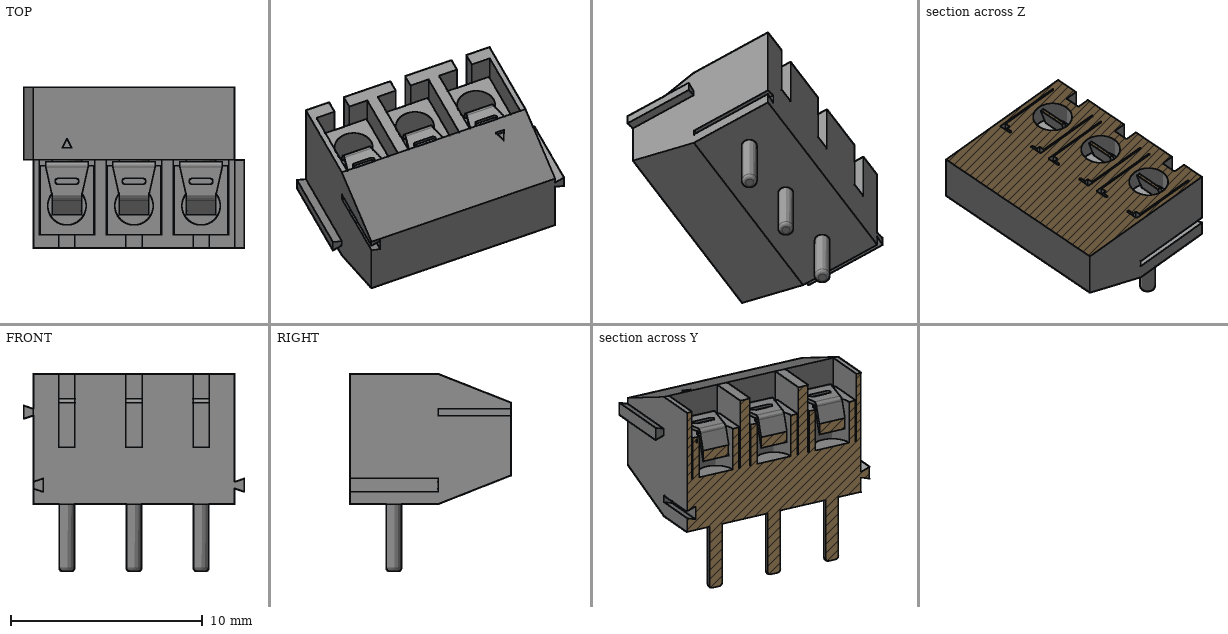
import cadquery as cq
import math

TOTAL_LENGTH = 11.5
RAIL_DEPTH = 0.51
BODY_LENGTH = TOTAL_LENGTH - 2 * RAIL_DEPTH
BODY_WIDTH = 8.4
BODY_HEIGHT = 6.8
BLOCK_WIDTH = 4.6
REAR_DROP = 1.5
FRONT = -BODY_WIDTH / 2
BACK = BODY_WIDTH / 2
RIDGE = FRONT + BLOCK_WIDTH
SIDE = BODY_LENGTH / 2

POLES = 3
PITCH = 3.5
POLE_X = [(i - (POLES - 1) / 2) * PITCH for i in range(POLES)]

FRONT_WALL = 0.7
POCKET_LENGTH = 2.9
POCKET_DEPTH = 3.82
POCKET_FLOOR = BODY_HEIGHT - POCKET_DEPTH
POCKET_FRONT = FRONT + FRONT_WALL
SLOT_LENGTH = 0.84

CAGE_LENGTH = 2.81
CAGE_TOP = BODY_HEIGHT - 1.5
CAGE_BACK = RIDGE - 0.3
WELL_DIAMETER = 2.0
WELL_Y = FRONT + 2.21
ROD_DIAMETER = 1.54
ROD_Z = (POCKET_FLOOR + CAGE_TOP) / 2

LEAF_THICKNESS = 0.2
LEAF_BEND_RADIUS = 0.25
LEAF_TONGUE_ANGLE = 72.0
LEAF_TONGUE_BEND = RIDGE - 1.86
LEAF_WIDE = 2.21
LEAF_NARROW = 1.54
LEAF_TOP = CAGE_TOP + LEAF_THICKNESS
LEAF_BACK = CAGE_BACK + LEAF_THICKNESS
LEAF_HOLE_LENGTH = 1.23
LEAF_HOLE_WIDTH = 0.3
LEAF_HOLE_Y = RIDGE - 1.12

PIN_Y = FRONT + 2.29
PIN_DIAMETER = 0.8
PIN_LENGTH = 3.51
PIN_TIP_RADIUS = 0.2

RAIL_WIDE = 0.7
RAIL_NECK = 0.36
UPPER_RAIL_Z = BODY_HEIGHT - 2.0
LOWER_RAIL_Z = 0.99

MARK_SIZE = 0.48
MARK_FRONT = RIDGE + 0.63
MARK_DEPTH = 0.2


def pole_box(x, length, y_range, z_range):
    """Box centred along X on one pole, between limits in Y and Z."""
    (y0, y1), (z0, z1) = y_range, z_range
    block = cq.Workplane("XY").box(length, y1 - y0, z1 - z0, centered=(True, False, False))
    return block.translate((x, y0, z0))


def side_profile(points, length):
    """Outline in Y and Z, extruded evenly to both sides of X = 0."""
    return cq.Workplane("YZ").polyline(points).close().extrude(length / 2, both=True)


def make_housing():
    outline = [
        (FRONT, 0),
        (RIDGE, 0),
        (BACK, REAR_DROP),
        (BACK, BODY_HEIGHT - REAR_DROP),
        (RIDGE, BODY_HEIGHT),
        (FRONT, BODY_HEIGHT),
    ]
    return side_profile(outline, BODY_LENGTH)


def make_dovetail(neck_x, z, y_range):
    """Dovetail bar along Y that widens from its neck towards +X."""
    y0, y1 = y_range
    outline = [
        (neck_x, z - RAIL_NECK / 2),
        (neck_x + RAIL_DEPTH, z - RAIL_WIDE / 2),
        (neck_x + RAIL_DEPTH, z + RAIL_WIDE / 2),
        (neck_x, z + RAIL_NECK / 2),
    ]
    return cq.Workplane("XZ").polyline(outline).close().extrude(y0 - y1).translate((0, y0, 0))


def make_pocket(x):
    """Open-topped pocket together with the slot through its front wall."""
    heights = (POCKET_FLOOR, BODY_HEIGHT)
    pocket = pole_box(x, POCKET_LENGTH, (POCKET_FRONT, RIDGE), heights)
    slot = pole_box(x, SLOT_LENGTH, (FRONT, POCKET_FRONT), heights)
    return pocket.union(slot)


def make_cage(x):
    """Cage block with a round well, and the rod joining it to the pocket's back wall."""
    cage = pole_box(x, CAGE_LENGTH, (POCKET_FRONT, CAGE_BACK), (POCKET_FLOOR, CAGE_TOP))
    well = (
        cq.Workplane("XY", origin=(x, WELL_Y, POCKET_FLOOR))
        .circle(WELL_DIAMETER / 2)
        .extrude(POCKET_DEPTH)
    )
    rod = (
        cq.Workplane("XZ", origin=(x, CAGE_BACK, ROD_Z))
        .circle(ROD_DIAMETER / 2)
        .extrude(CAGE_BACK - RIDGE)
    )
    return cage.cut(well).union(rod)


def make_leaf(x):
    """Bent strip: leg behind the cage, flat top, tongue sloping down into the well."""
    angle = math.radians(LEAF_TONGUE_ANGLE)
    outer = LEAF_BEND_RADIUS
    inner = LEAF_BEND_RADIUS - LEAF_THICKNESS
    bend_z = LEAF_TOP - outer
    rear_y = LEAF_BACK - outer

    def rear_bend(radius, turn):
        return (rear_y + radius * math.sin(turn), bend_z + radius * math.cos(turn))

    def tongue_bend(radius, turn):
        return (LEAF_TONGUE_BEND - radius * math.sin(turn), bend_z + radius * math.cos(turn))

    def tongue_foot(radius):
        y, z = tongue_bend(radius, angle)
        return (y - (z - POCKET_FLOOR) / math.tan(angle), POCKET_FLOOR)

    quarter = math.pi / 2
    strip = (
        cq.Workplane("YZ")
        .moveTo(LEAF_BACK, POCKET_FLOOR)
        .lineTo(*rear_bend(outer, quarter))
        .threePointArc(rear_bend(outer, quarter / 2), rear_bend(outer, 0))
        .lineTo(*tongue_bend(outer, 0))
        .threePointArc(tongue_bend(outer, angle / 2), tongue_bend(outer, angle))
        .lineTo(*tongue_foot(outer))
        .lineTo(*tongue_foot(inner))
        .lineTo(*tongue_bend(inner, angle))
        .threePointArc(tongue_bend(inner, angle / 2), tongue_bend(inner, 0))
        .lineTo(*rear_bend(inner, 0))
        .threePointArc(rear_bend(inner, quarter / 2), rear_bend(inner, quarter))
        .lineTo(CAGE_BACK, POCKET_FLOOR)
        .close()
        .extrude(LEAF_WIDE / 2, both=True)
    )
    plan = [
        (LEAF_WIDE / 2, LEAF_BACK),
        (LEAF_WIDE / 2, rear_y),
        (LEAF_NARROW / 2, LEAF_TONGUE_BEND),
        (LEAF_NARROW / 2, POCKET_FRONT),
    ]
    mirrored = [(-px, py) for px, py in reversed(plan)]
    trim = cq.Workplane("XY").polyline(plan + mirrored).close().extrude(BODY_HEIGHT)
    hole = (
        cq.Workplane("XY", origin=(0, LEAF_HOLE_Y, CAGE_TOP))
        .slot2D(LEAF_HOLE_LENGTH, LEAF_HOLE_WIDTH)
        .extrude(LEAF_THICKNESS)
    )
    return strip.intersect(trim).cut(hole).translate((x, 0, 0))


def make_pin(x):
    pin = cq.Workplane("XY", origin=(x, PIN_Y, 0)).circle(PIN_DIAMETER / 2).extrude(-PIN_LENGTH)
    return pin.faces("<Z").edges().fillet(PIN_TIP_RADIUS)


def make_mark(x):
    """Triangular prism that bottoms out parallel to the sloping rear face."""
    outline = [
        (x - MARK_SIZE / 2, MARK_FRONT),
        (x + MARK_SIZE / 2, MARK_FRONT),
        (x, MARK_FRONT + MARK_SIZE),
    ]
    prism = cq.Workplane("XY").polyline(outline).close().extrude(BODY_HEIGHT)
    sloping_layer = [
        (RIDGE, BODY_HEIGHT - MARK_DEPTH),
        (BACK, BODY_HEIGHT - REAR_DROP - MARK_DEPTH),
        (BACK, BODY_HEIGHT),
        (RIDGE, BODY_HEIGHT),
    ]
    return prism.intersect(side_profile(sloping_layer, BODY_LENGTH))


front_half = (FRONT, RIDGE)
rear_half = (RIDGE, BACK)

result = make_housing()

result = result.union(make_dovetail(SIDE, LOWER_RAIL_Z, front_half))
result = result.cut(make_dovetail(-SIDE, LOWER_RAIL_Z, front_half))
upper_rail = make_dovetail(SIDE, UPPER_RAIL_Z, rear_half).mirror("YZ")
upper_groove = upper_rail.translate((BODY_LENGTH, 0, 0))
result = result.union(upper_rail).cut(upper_groove)

result = result.cut(make_mark(POLE_X[0]))

for pole in POLE_X:
    result = result.cut(make_pocket(pole))
    result = result.union(make_cage(pole)).union(make_leaf(pole)).union(make_pin(pole))